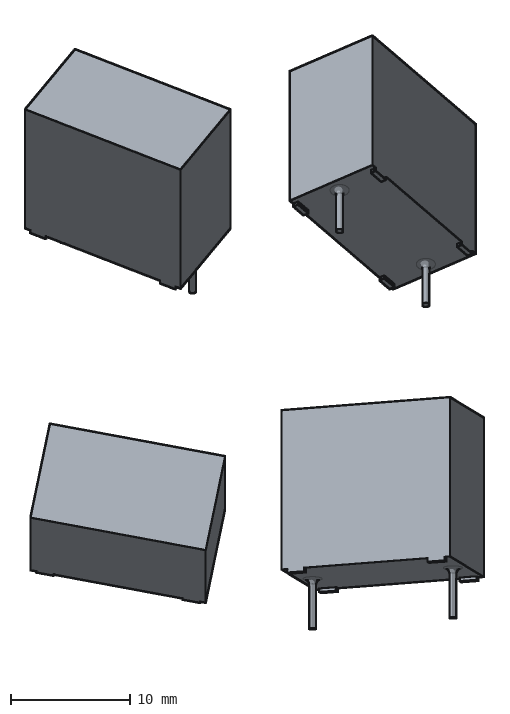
import cadquery as cq

body_length = 15.0
body_width = 8.5
seated_height = 14.0

foot_length = 1.5
foot_width = 0.5
foot_height = 0.3
foot_end_inset = 0.5

lead_pitch = 12.5
lead_diameter = 0.6
lead_length = 4.0
meniscus_radius = 0.5

body_height = seated_height - foot_height
underside_z = foot_height
lead_radius = lead_diameter / 2
foot_x = body_length / 2 - foot_end_inset - foot_length / 2
foot_y = (body_width - foot_width) / 2


def make_body():
    """Plain rectangular case, raised above the seating plane by the feet."""
    return (
        cq.Workplane("XY")
        .workplane(offset=underside_z)
        .rect(body_length, body_width)
        .extrude(body_height)
    )


def make_feet():
    """Four small feet, flush with the long side faces of the case."""
    return (
        cq.Workplane("XY")
        .rect(2 * foot_x, 2 * foot_y, forConstruction=True)
        .vertices()
        .rect(foot_length, foot_width)
        .extrude(foot_height)
    )


def make_lead(x):
    """Round lead that flares in a concave quarter arc where it meets the underside."""
    flare_end_z = underside_z - meniscus_radius
    arc_center_x = lead_radius + meniscus_radius
    arc_offset = meniscus_radius / 2**0.5
    arc_midpoint = (arc_center_x - arc_offset, flare_end_z + arc_offset)
    return (
        cq.Workplane("XZ")
        .moveTo(0, -lead_length)
        .lineTo(lead_radius, -lead_length)
        .lineTo(lead_radius, flare_end_z)
        .threePointArc(arc_midpoint, (arc_center_x, underside_z))
        .lineTo(0, underside_z)
        .close()
        .revolve(360, (0, 0), (0, 1))
        .translate((x, 0, 0))
    )


result = make_body().union(make_feet())
for side in (-1, 1):
    result = result.union(make_lead(side * lead_pitch / 2))